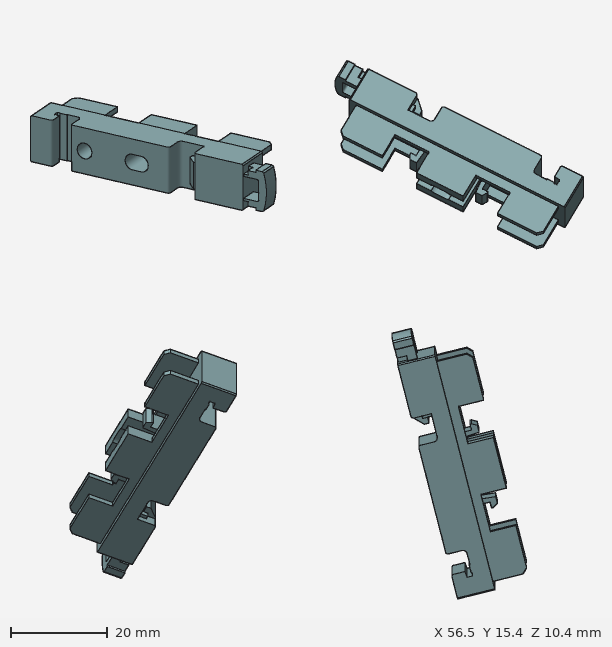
import cadquery as cq

body_length = 51.0
body_depth = 7.95
height = 10.4
mid_x = body_length / 2
mid_z = height / 2
end_bevel = 0.3

slot_floor_y = 4.25
slot_root_radius = 0.85
slot_mouth_radius = 0.5
fixed_lip_x = 5.3
fixed_undercut_x = 4.0
fixed_undercut_y = 3.05
fixed_lip_y = 2.9
fixed_slot_wall_x = 9.7
floor_pad_start_x = 4.65
floor_pad_end_x = 6.45
floor_pad_height = 0.15
latch_slot_wall_x = 33.35
latch_slot_end_x = 39.2

hole_diameter = 3.5
round_hole_x = 13.0
oblong_hole_length = 5.55

plate_start_x = 1.65
plate_top_z = 9.2
plate_thickness = 1.2
tab_end_y = 15.4
web_end_y = 10.0
tab_bevel = 1.0
gap_inner_x = 20.0
gap_width = 8.1
middle_tab_thickness = 2.6

hook_width = 4.6
hook_tip_x = 16.4
hook_stem_x = 17.7
hook_crest_x = 17.0
hook_back_x = 18.9
hook_back_top_x = 18.55
hook_barb_y = 11.35
hook_barb_top_y = 11.7
hook_top_y = 12.75

latch_front_y = 0.15
latch_step_y = 2.2
latch_width = 8.0
latch_front_width = 6.0
latch_start_x = 38.5
latch_front_end_x = 52.1
latch_tip_x = 37.0
latch_tip_y = 3.2
latch_toe_x = 39.05
handle_window_width = 5.0
handle_window_end_x = 54.65
handle_window_radius = 0.45
handle_flange_x = 53.95
handle_flange_width = 9.05
handle_corner_x = 55.5
handle_edge_x = 55.9
handle_edge_width = 8.5
handle_end_x = 56.5


def slab(outline, base, thickness):
    """Extrude a closed XY outline upwards from the height base."""
    return outline.extrude(thickness).translate((0, 0, base))


def centred_slab(outline, thickness):
    """Extrude a closed XY outline evenly about the mid height."""
    return slab(outline, mid_z - thickness / 2, thickness)


def block(x_start, x_end, y_start, y_end, width):
    """Box centred on the mid height."""
    outline = cq.Workplane("XY").moveTo(x_start, y_start).lineTo(x_end, y_start)
    outline = outline.lineTo(x_end, y_end).lineTo(x_start, y_end).close()
    return centred_slab(outline, width)


def round_vertical_edge(solid, x, y, radius):
    """Fillet the single vertical edge that passes through (x, y)."""
    nearest_edge = cq.selectors.NearestToPointSelector((x, y, mid_z))
    return solid.edges("|Z").edges(nearest_edge).fillet(radius)


def make_body():
    """Bar with bevelled ends, an undercut fixed slot and a straight latch slot."""
    outline = (
        cq.Workplane("XZ")
        .moveTo(end_bevel, 0)
        .lineTo(body_length - end_bevel, 0)
        .lineTo(body_length, end_bevel)
        .lineTo(body_length, height - end_bevel)
        .lineTo(body_length - end_bevel, height)
        .lineTo(end_bevel, height)
        .lineTo(0, height - end_bevel)
        .lineTo(0, end_bevel)
        .close()
    )
    body = outline.extrude(-body_depth)

    fixed_slot = (
        cq.Workplane("XY")
        .moveTo(fixed_lip_x, 0)
        .lineTo(fixed_lip_x, fixed_lip_y)
        .lineTo(fixed_undercut_x, fixed_undercut_y)
        .lineTo(fixed_undercut_x, slot_floor_y)
        .lineTo(floor_pad_start_x, slot_floor_y)
        .lineTo(floor_pad_start_x + floor_pad_height, slot_floor_y - floor_pad_height)
        .lineTo(floor_pad_end_x, slot_floor_y - floor_pad_height)
        .lineTo(floor_pad_end_x, slot_floor_y)
        .lineTo(fixed_slot_wall_x, slot_floor_y)
        .lineTo(fixed_slot_wall_x, 0)
        .close()
    )
    body = body.cut(slab(fixed_slot, 0, height))
    body = body.cut(block(latch_slot_wall_x, latch_slot_end_x, 0, slot_floor_y, height))

    for wall_x in (fixed_slot_wall_x, latch_slot_wall_x):
        body = round_vertical_edge(body, wall_x, slot_floor_y, slot_root_radius)
    for mouth_x in (fixed_lip_x, fixed_slot_wall_x, latch_slot_wall_x, latch_slot_end_x):
        body = round_vertical_edge(body, mouth_x, 0, slot_mouth_radius)
    return body


def mirrored_x(solid):
    return solid.mirror("YZ", (mid_x, 0, 0))


def mirrored_z(solid):
    return solid.mirror("XY", (0, 0, mid_z))


def make_plate():
    """Upper plate: thin end tabs, a thicker middle tab and a low web joining them."""
    half_outline = (
        cq.Workplane("XY")
        .moveTo(mid_x, body_depth)
        .lineTo(plate_start_x, body_depth)
        .lineTo(plate_start_x, tab_end_y - tab_bevel)
        .lineTo(plate_start_x + tab_bevel, tab_end_y)
        .lineTo(gap_inner_x - gap_width, tab_end_y)
        .lineTo(gap_inner_x - gap_width, web_end_y)
        .lineTo(mid_x, web_end_y)
        .close()
    )
    half = slab(half_outline, plate_top_z - plate_thickness, plate_thickness)
    middle_depth = tab_end_y - body_depth
    middle_outline = cq.Workplane("XY").center(mid_x, body_depth + middle_depth / 2)
    middle_outline = middle_outline.rect(2 * (mid_x - gap_inner_x), middle_depth)
    middle = slab(middle_outline, plate_top_z - middle_tab_thickness, middle_tab_thickness)
    return half.union(mirrored_x(half)).union(middle)


def make_hook():
    """Left-hand snap hook; its barb points towards -X and its back leans."""
    outline = (
        cq.Workplane("XY")
        .moveTo(hook_stem_x, body_depth)
        .lineTo(hook_stem_x, hook_barb_y)
        .lineTo(hook_tip_x, hook_barb_y)
        .lineTo(hook_tip_x, hook_barb_top_y)
        .lineTo(hook_crest_x, hook_top_y)
        .lineTo(hook_back_top_x, hook_top_y)
        .lineTo(hook_back_x, body_depth)
        .close()
    )
    return centred_slab(outline, hook_width)


def make_latch():
    """Stepped slide with a barb at its inner end and a windowed handle outside."""
    rear = block(latch_start_x, handle_flange_x, latch_step_y, slot_floor_y, latch_width)
    front = block(latch_slot_end_x, latch_front_end_x, latch_front_y, latch_step_y, latch_front_width)
    neck = block(latch_front_end_x, handle_flange_x, latch_front_y, slot_floor_y, latch_width)
    barb_outline = (
        cq.Workplane("XY")
        .moveTo(latch_tip_x, latch_tip_y)
        .lineTo(latch_tip_x, latch_step_y)
        .lineTo(latch_toe_x, latch_front_y)
        .lineTo(latch_slot_end_x, latch_front_y)
        .lineTo(latch_slot_end_x, latch_tip_y)
        .close()
    )
    barb = centred_slab(barb_outline, latch_front_width)

    flange_half = handle_flange_width / 2
    edge_half = handle_edge_width / 2
    grip = (
        cq.Workplane("XZ", origin=(0, latch_front_y, mid_z))
        .moveTo(handle_flange_x, -flange_half)
        .lineTo(handle_corner_x, -flange_half)
        .lineTo(handle_edge_x, -edge_half)
        .threePointArc((handle_end_x, 0), (handle_edge_x, edge_half))
        .lineTo(handle_corner_x, flange_half)
        .lineTo(handle_flange_x, flange_half)
        .close()
        .extrude(latch_front_y - slot_floor_y)
    )
    window = block(body_length, handle_window_end_x, latch_front_y, slot_floor_y, handle_window_width)
    window = window.edges("|Y and >X").fillet(handle_window_radius)
    return rear.union(front).union(neck).union(barb).union(grip).cut(window)


def make_holes():
    """Round and oblong holes along Y; the oblong one also grooves the middle tabs."""
    plane = cq.Workplane("XZ")
    round_hole = plane.center(round_hole_x, mid_z).circle(hole_diameter / 2).extrude(-tab_end_y)
    oblong = plane.center(mid_x, mid_z).slot2D(oblong_hole_length, hole_diameter).extrude(-tab_end_y)
    return round_hole.union(oblong)


plate = make_plate()
hook = make_hook()
result = make_body()
for feature in (plate, mirrored_z(plate), hook, mirrored_x(hook), make_latch()):
    result = result.union(feature)
result = result.cut(make_holes())